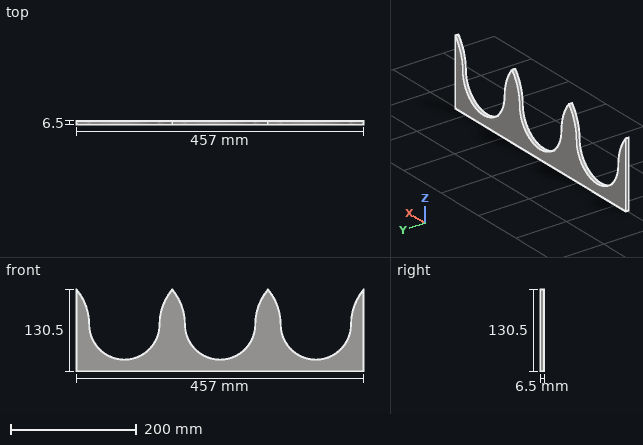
import cadquery as cq
import math

length = 457.0
thickness = 6.5
height = 130.5
cradle_count = 3
cradle_radius = 56.0
web_height = 18.7

pitch = length / cradle_count
shoulder_z = web_height + cradle_radius

flank_run = pitch / 2 - cradle_radius
flank_rise = height - shoulder_z
flank_radius = (flank_run**2 + flank_rise**2) / (2 * flank_run)
half_sweep = math.asin(flank_rise / flank_radius) / 2
flank_mid_offset = cradle_radius + flank_radius * (1 - math.cos(half_sweep))
flank_mid_z = shoulder_z + flank_radius * math.sin(half_sweep)


def add_cradle(outline, center_x):
    """Continue the outline from the left prong tip, round a cradle, to the right tip."""
    return (
        outline
        .threePointArc(
            (center_x - flank_mid_offset, flank_mid_z),
            (center_x - cradle_radius, shoulder_z),
        )
        .threePointArc(
            (center_x, web_height),
            (center_x + cradle_radius, shoulder_z),
        )
        .threePointArc(
            (center_x + flank_mid_offset, flank_mid_z),
            (center_x + pitch / 2, height),
        )
    )


outline = cq.Workplane("XZ").moveTo(-length / 2, 0).lineTo(-length / 2, height)
for index in range(cradle_count):
    outline = add_cradle(outline, -length / 2 + (index + 0.5) * pitch)
outline = outline.lineTo(length / 2, 0).close()

result = outline.extrude(thickness / 2, both=True)